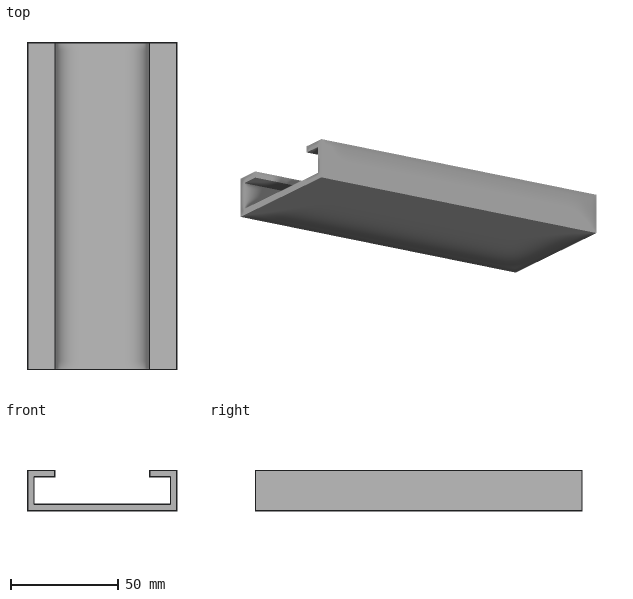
import cadquery as cq

width = 69.6
length = 152.4
height = 18.8

wall = 3.05
lip_width = 12.7

slot_width = width - 2 * lip_width
cavity_width = width - 2 * wall
cavity_height = height - 2 * wall


def centered_block(block_width, block_height, bottom):
    """Full-length block centred on X and Y, standing on the given Z level."""
    return (
        cq.Workplane("XY")
        .workplane(offset=bottom)
        .box(block_width, length, block_height, centered=(True, True, False))
    )


body = centered_block(width, height, 0)
cavity = centered_block(cavity_width, cavity_height, wall)
slot = centered_block(slot_width, height - wall, wall)

result = body.cut(cavity).cut(slot)